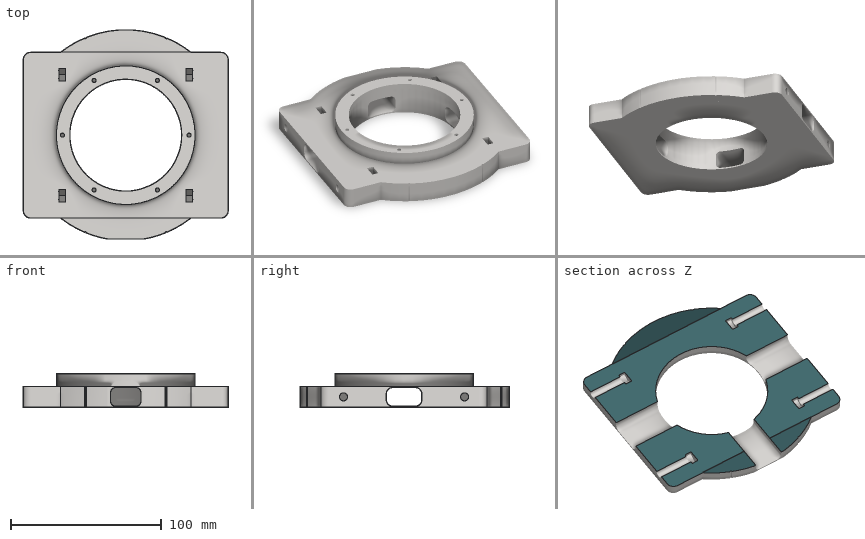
import cadquery as cq
import math

TOTAL_DEPTH = 139.0
TOTAL_HEIGHT = 22.5

PLATE_LENGTH = 136.0
PLATE_WIDTH = 110.0
PLATE_THICKNESS = 14.0
PLATE_CORNER_RADIUS = 5.0
MID_HEIGHT = PLATE_THICKNESS / 2

RING_DIAMETER = 92.0
BORE_DIAMETER = 74.0
RING_HOLE_COUNT = 6
RING_HOLE_DIAMETER = 2.6
RING_HOLE_CIRCLE_RADIUS = 42.0
RING_HOLE_DEPTH = TOTAL_HEIGHT - PLATE_THICKNESS

FLAT_WIDTH = 23.9
LOBE_RADIUS = TOTAL_DEPTH / 2 + (FLAT_WIDTH / 2) ** 2 / (2 * TOTAL_DEPTH)
FLAT_DISTANCE = TOTAL_DEPTH - LOBE_RADIUS
GROOVE_ANGLE = 22.5
GROOVE_WIDTH = 1.0
GROOVE_DEPTH = 0.5

WINDOW_HEIGHT = 12.2
SIDE_WINDOW_WIDTH = 23.3
SIDE_WINDOW_RADIUS = 4.0
FRONT_WINDOW_WIDTH = 20.0
FRONT_WINDOW_RADIUS = 3.0

SCREW_HOLE_DIAMETER = 5.3
POCKET_X = 42.2
POCKET_Y = 40.2
NUT_THICKNESS = 4.3
NUT_ACROSS_FLATS = 8.3
NUT_CORNER_RADIUS = NUT_ACROSS_FLATS / math.sqrt(3)


def side_windows():
    """Rounded bar along X that opens both short sides of the plate."""
    return (
        cq.Workplane("XY")
        .box(PLATE_LENGTH, SIDE_WINDOW_WIDTH, WINDOW_HEIGHT)
        .edges("|X")
        .fillet(SIDE_WINDOW_RADIUS)
        .translate((0, 0, MID_HEIGHT))
    )


def front_window():
    """Rounded bar along Y from the front flat to the bore axis."""
    return (
        cq.Workplane("XY")
        .box(FRONT_WINDOW_WIDTH, FLAT_DISTANCE, WINDOW_HEIGHT)
        .edges("|Y")
        .fillet(FRONT_WINDOW_RADIUS)
        .translate((0, -FLAT_DISTANCE / 2, MID_HEIGHT))
    )


def ring_holes():
    """Blind holes evenly spaced around the top of the ring."""
    return (
        cq.Workplane("XY", origin=(0, 0, TOTAL_HEIGHT - RING_HOLE_DEPTH))
        .polarArray(RING_HOLE_CIRCLE_RADIUS, 0, 360, RING_HOLE_COUNT)
        .circle(RING_HOLE_DIAMETER / 2)
        .extrude(RING_HOLE_DEPTH)
    )


def nut_pocket(x_sign, y_sign):
    """Slot from the top with a V floor that holds a hexagon nut, plus its screw hole from the side."""
    half_flats = NUT_ACROSS_FLATS / 2
    lower_corner_height = MID_HEIGHT - NUT_CORNER_RADIUS / 2
    pocket = (
        cq.Workplane("YZ")
        .moveTo(-half_flats, PLATE_THICKNESS)
        .lineTo(-half_flats, lower_corner_height)
        .lineTo(0, MID_HEIGHT - NUT_CORNER_RADIUS)
        .lineTo(half_flats, lower_corner_height)
        .lineTo(half_flats, PLATE_THICKNESS)
        .close()
        .extrude(NUT_THICKNESS / 2, both=True)
        .translate((x_sign * POCKET_X, y_sign * POCKET_Y, 0))
    )
    inner_end = POCKET_X - NUT_THICKNESS / 2
    screw_hole = (
        cq.Workplane("YZ", origin=(x_sign * inner_end, y_sign * POCKET_Y, MID_HEIGHT))
        .circle(SCREW_HOLE_DIAMETER / 2)
        .extrude(x_sign * (PLATE_LENGTH / 2 - inner_end))
    )
    return pocket.union(screw_hole)


def build_plate():
    """Rectangular plate with the raised ring, bore, windows and nut pockets."""
    plate = (
        cq.Workplane("XY")
        .rect(PLATE_LENGTH, PLATE_WIDTH)
        .extrude(PLATE_THICKNESS)
        .edges("|Z")
        .fillet(PLATE_CORNER_RADIUS)
    )
    ring = cq.Workplane("XY").circle(RING_DIAMETER / 2).extrude(TOTAL_HEIGHT)
    bore = cq.Workplane("XY").circle(BORE_DIAMETER / 2).extrude(TOTAL_HEIGHT)
    plate = plate.union(ring).cut(bore).cut(side_windows()).cut(front_window()).cut(ring_holes())
    for x_sign in (-1, 1):
        for y_sign in (-1, 1):
            plate = plate.cut(nut_pocket(x_sign, y_sign))
    return plate


def lobe_blank(y_sign):
    """Disc segment beyond one long side of the plate, with two grooves in its rim."""
    half_chord = math.sqrt(LOBE_RADIUS**2 - (PLATE_WIDTH / 2) ** 2)
    chord_y = y_sign * PLATE_WIDTH / 2
    lobe = (
        cq.Workplane("XY")
        .moveTo(-half_chord, chord_y)
        .threePointArc((0, y_sign * LOBE_RADIUS), (half_chord, chord_y))
        .close()
        .extrude(PLATE_THICKNESS)
    )
    for side in (-1, 1):
        groove = (
            cq.Workplane("XY")
            .center(0, y_sign * LOBE_RADIUS)
            .rect(GROOVE_WIDTH, 2 * GROOVE_DEPTH)
            .extrude(PLATE_THICKNESS)
            .rotate((0, 0, 0), (0, 0, 1), side * GROOVE_ANGLE)
        )
        lobe = lobe.cut(groove)
    return lobe


def build_front_lobe():
    """Lobe on the -Y side, trimmed flat and opened by the front window."""
    trim_depth = LOBE_RADIUS - FLAT_DISTANCE
    trim = (
        cq.Workplane("XY")
        .center(0, -FLAT_DISTANCE - trim_depth / 2)
        .rect(2 * FLAT_WIDTH, trim_depth)
        .extrude(PLATE_THICKNESS)
    )
    return lobe_blank(-1).cut(trim).cut(front_window())


def build_rear_lobe():
    """Lobe on the +Y side, with a full round rim."""
    return lobe_blank(1)


plate = build_plate()
front_lobe = build_front_lobe()
rear_lobe = build_rear_lobe()

result = cq.Compound.makeCompound([plate.val(), front_lobe.val(), rear_lobe.val()])